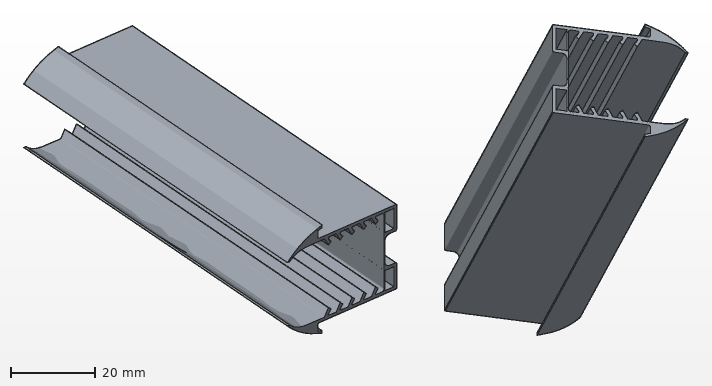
import cadquery as cq

LENGTH = 100.0
DEPTH = 33.4
HALF_HEIGHT = 15.35
BACK = DEPTH / 2

CHANNEL_HALF = 12.0
WALL = 0.9
INNER_HALF = CHANNEL_HALF - WALL
WEB_FRONT = 3.9
WEB = 0.3
WEB_REAR = WEB_FRONT - WEB
HOLLOW_BOTTOM = 5.4
FOOT_BOTTOM = HOLLOW_BOTTOM - WALL
FOOT_CORNER_RADIUS = 0.5
WEB_FILLET = 1.4
INNER_CORNER = 0.7
BACK_CHAMFER = 0.2

LIP_START = 22.8
LIP_END_HEIGHT = 0.7
LIP_FACE = 24.1
LIP_UNDERSIDE = 14.2
LIP_FILLET = 0.5
OUTER_CURVE_START = 14.9
OUTER_CURVE_MIDDLE = (29.1, 12.6)
TIP_HEIGHT = 9.0
TIP_WIDTH = 0.7
TIP_DIRECTION = (-1, -0.9)
INNER_CURVE_START = 23.6
INNER_CURVE_POINTS = ((28.4, 11.0), (30.9, 10.3))

TOOTH_COUNT = 5
TOOTH_PITCH = 3.6
FIRST_TOOTH = 5.7
TOOTH_OVERLAP = 0.3
TOOTH_END_HEIGHT = 9.6
TOOTH_LOW_HEIGHT = 8.9
TOOTH_END_WIDTH = 0.8
TOOTH_LEAN = 1.1
TOOTH_ROOT_WIDTH = 0.9
TOOTH_FILLET = 0.3


def point(depth, height):
    """Section point from its depth below the back face and its height."""
    return (BACK - depth, height)


def extrude(outline):
    return outline.close().extrude(LENGTH / 2, both=True)


def start(depth, height):
    return cq.Workplane("YZ").moveTo(*point(depth, height))


def block(depth_from, depth_to, low, high):
    return extrude(
        start(depth_from, low)
        .lineTo(*point(depth_to, low))
        .lineTo(*point(depth_to, high))
        .lineTo(*point(depth_from, high))
    )


def edge_at(depth, height):
    """Selector for the lengthwise edge through a section point."""
    y, z = point(depth, height)
    return cq.selectors.NearestToPointSelector((0, y, z))


def flanged_wall():
    """Upper wall ending in the curved lip."""
    inner_curve = [point(*place) for place in INNER_CURVE_POINTS]
    inner_curve.append(point(DEPTH - TIP_WIDTH, TIP_HEIGHT))
    body = extrude(
        start(0, INNER_HALF)
        .lineTo(*point(INNER_CURVE_START, INNER_HALF))
        .spline(inner_curve, tangents=[(-1, 0), TIP_DIRECTION], includeCurrent=True)
        .lineTo(*point(DEPTH, TIP_HEIGHT))
        .threePointArc(point(*OUTER_CURVE_MIDDLE), point(LIP_FACE, OUTER_CURVE_START))
        .lineTo(*point(LIP_START, HALF_HEIGHT))
        .lineTo(*point(LIP_START, HALF_HEIGHT - LIP_END_HEIGHT))
        .lineTo(*point(LIP_FACE, LIP_UNDERSIDE))
        .lineTo(*point(LIP_FACE, CHANNEL_HALF))
        .lineTo(*point(0, CHANNEL_HALF))
    )
    return body.edges(edge_at(LIP_FACE, CHANNEL_HALF)).fillet(LIP_FILLET)


def tooth(rear):
    """One tooth leaning towards the back of the channel."""
    root = rear + TOOTH_LEAN
    return extrude(
        start(rear, TOOTH_END_HEIGHT)
        .lineTo(*point(rear + TOOTH_END_WIDTH, TOOTH_LOW_HEIGHT))
        .lineTo(*point(root + TOOTH_ROOT_WIDTH, INNER_HALF))
        .lineTo(*point(root + TOOTH_ROOT_WIDTH, INNER_HALF + TOOTH_OVERLAP))
        .lineTo(*point(root, INNER_HALF + TOOTH_OVERLAP))
        .lineTo(*point(root, INNER_HALF))
    )


def upper_half():
    body = flanged_wall()
    body = body.union(block(0, WEB_FRONT, FOOT_BOTTOM, CHANNEL_HALF))
    body = body.union(block(WEB_REAR, WEB_FRONT, 0, INNER_HALF))
    body = body.edges(edge_at(0, FOOT_BOTTOM)).fillet(FOOT_CORNER_RADIUS)
    body = body.edges(edge_at(WEB_REAR, FOOT_BOTTOM)).fillet(WEB_FILLET)
    body = body.edges(edge_at(WEB_FRONT, INNER_HALF)).fillet(INNER_CORNER)
    body = body.edges(edge_at(0, CHANNEL_HALF)).chamfer(BACK_CHAMFER)
    body = body.cut(block(WALL, WEB_REAR, HOLLOW_BOTTOM, INNER_HALF))
    for index in range(TOOTH_COUNT):
        rear = FIRST_TOOTH + index * TOOTH_PITCH
        root = rear + TOOTH_LEAN
        body = body.union(tooth(rear))
        for depth in (root, root + TOOTH_ROOT_WIDTH):
            body = body.edges(edge_at(depth, INNER_HALF)).fillet(TOOTH_FILLET)
    return body


upper = upper_half()
result = upper.union(upper.mirror("XY")).clean()